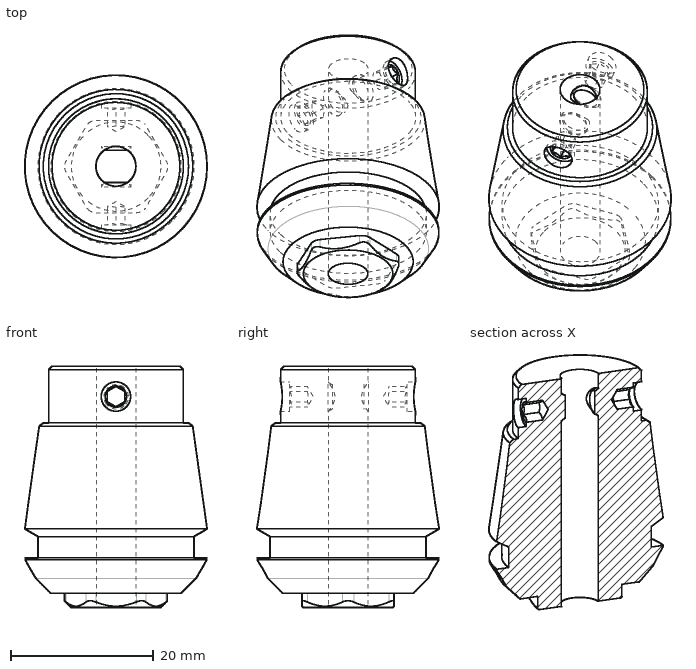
import cadquery as cq
import math

overall_height = 34.0
hexagon_height = 2.0
lower_cone_break = 4.15
groove_bottom = 7.0
groove_top = 10.0
shoulder_height = 26.0

neck_diameter = 19.0
groove_diameter = 22.0
lower_rim_diameter = 25.6
upper_rim_diameter = 25.7
shoulder_diameter = 21.65

neck_chamfer = 0.5
shoulder_chamfer_height = 0.45
shoulder_chamfer_width = 0.6
rim_land = 0.28
rim_cone_angle = 60.0
undercut_angle = 30.0
base_cone_angle = 45.0

hexagon_across_flats = 13.0
hexagon_corner_radius = 1.6
hexagon_bottom_diameter = 12.6

bore_diameter = 5.59

screw_diameter = 4.13
screw_axis_height = overall_height - 4.3
screw_tip_offset = 2.25
screw_length = 6.0
screw_tip_chamfer_length = 0.6
screw_tip_chamfer_width = 0.35
socket_across_flats = 2.5
socket_depth = 2.5
socket_mouth_diameter = 3.0
socket_turn = 30.0
socket_point_angle = 120.0


def rise(width, angle):
    """Height gained by a conical face of the given radial width."""
    return width * math.tan(math.radians(angle))


def across_corners(across_flats):
    return across_flats / math.cos(math.pi / 6)


def revolve_about_z(profile):
    """Solid of revolution from (radius, height) points."""
    return cq.Workplane("XZ").polyline(profile).close().revolve(360, (0, 0, 0), (0, 1, 0))


def make_body():
    neck_radius = neck_diameter / 2
    groove_radius = groove_diameter / 2
    lower_rim_radius = lower_rim_diameter / 2
    upper_rim_radius = upper_rim_diameter / 2
    shoulder_radius = shoulder_diameter / 2

    land_bottom = groove_bottom - rim_land
    break_radius = lower_rim_radius - (land_bottom - lower_cone_break) / rise(1, rim_cone_angle)
    base_radius = break_radius - (lower_cone_break - hexagon_height) / rise(1, base_cone_angle)
    upper_rim_height = groove_top + rise(upper_rim_radius - groove_radius, undercut_angle)

    profile = [
        (0, hexagon_height),
        (base_radius, hexagon_height),
        (break_radius, lower_cone_break),
        (lower_rim_radius, land_bottom),
        (lower_rim_radius, groove_bottom),
        (groove_radius, groove_bottom),
        (groove_radius, groove_top),
        (upper_rim_radius, upper_rim_height),
        (shoulder_radius, shoulder_height - shoulder_chamfer_height),
        (shoulder_radius - shoulder_chamfer_width, shoulder_height),
        (neck_radius, shoulder_height),
        (neck_radius, overall_height - neck_chamfer),
        (neck_radius - neck_chamfer, overall_height),
        (0, overall_height),
    ]
    return revolve_about_z(profile)


def make_hexagon():
    """Hexagon with rounded corners, turned to a 45 degree cone at the bottom."""
    hexagon = (
        cq.Workplane("XY")
        .polygon(6, across_corners(hexagon_across_flats))
        .extrude(hexagon_height)
        .edges("|Z")
        .fillet(hexagon_corner_radius)
    )
    bottom_radius = hexagon_bottom_diameter / 2
    top_radius = bottom_radius + hexagon_height
    envelope = cq.Workplane(cq.Solid.makeCone(bottom_radius, top_radius, hexagon_height))
    return hexagon.intersect(envelope)


def make_screw():
    """Set screw along Z, with its flat tip at z = 0 and its socket at the other end."""
    screw_radius = screw_diameter / 2
    screw_profile = [
        (0, 0),
        (screw_radius - screw_tip_chamfer_width, 0),
        (screw_radius, screw_tip_chamfer_length),
        (screw_radius, screw_length),
        (0, screw_length),
    ]
    screw = revolve_about_z(screw_profile)
    corner_radius = across_corners(socket_across_flats) / 2
    mouth_radius = socket_mouth_diameter / 2
    flat_radius = socket_across_flats / 2
    point_height = corner_radius / math.tan(math.radians(socket_point_angle / 2))
    socket_floor = screw_length - socket_depth

    socket = (
        cq.Workplane("XY")
        .workplane(offset=socket_floor - point_height)
        .polygon(6, 2 * corner_radius)
        .extrude(point_height + socket_depth)
        .rotate((0, 0, 0), (0, 0, 1), socket_turn)
    )
    drill_profile = [
        (0, socket_floor - point_height),
        (corner_radius, socket_floor),
        (corner_radius, screw_length),
        (0, screw_length),
    ]
    drill = revolve_about_z(drill_profile)
    mouth_depth = mouth_radius - flat_radius
    mouth = cq.Workplane(
        cq.Solid.makeCone(flat_radius, mouth_radius, mouth_depth, cq.Vector(0, 0, screw_length - mouth_depth))
    )
    return screw.cut(socket.intersect(drill)).cut(mouth)


def add_screws(part):
    """Sink a set screw into each of the -Y and +Y sides of the neck."""
    screw = (
        make_screw()
        .translate((0, 0, screw_tip_offset))
        .rotate((0, 0, 0), (1, 0, 0), 90)
        .translate((0, 0, screw_axis_height))
    )
    hole = (
        cq.Workplane("XZ")
        .center(0, screw_axis_height)
        .circle(screw_diameter / 2)
        .extrude(neck_diameter / 2, both=True)
    )
    part = part.cut(hole)
    for turn in (0, 180):
        part = part.union(screw.rotate((0, 0, 0), (0, 0, 1), turn))
    return part


body = make_body().union(make_hexagon())
bore = cq.Workplane("XY").circle(bore_diameter / 2).extrude(overall_height)
result = add_screws(body.cut(bore))